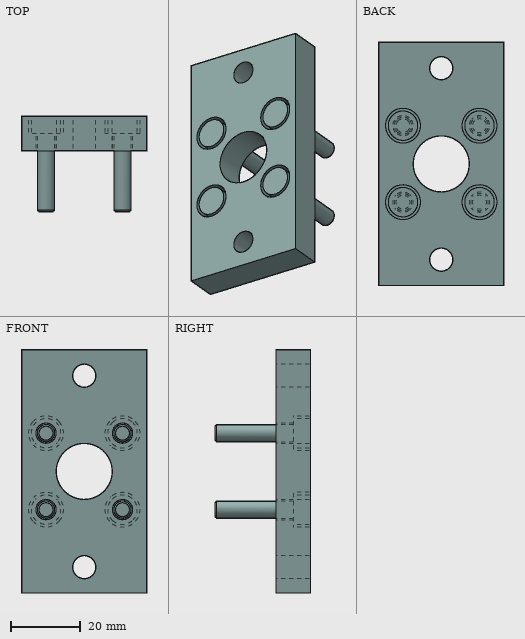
import cadquery as cq

plate_width = 36.0
plate_thickness = 10.0
plate_height = 70.0

bore_diameter = 16.0
mounting_hole_diameter = 6.6
mounting_hole_spacing = 55.0

screw_spacing = 22.0
shank_diameter = 5.0
shank_projection = 17.5
tip_chamfer = 0.5
head_diameter = 8.5
head_height = shank_diameter

clearance_diameter = 5.8
counterbore_diameter = 10.0
counterbore_depth = head_height

seat_y = plate_thickness - counterbore_depth
screw_places = [
    (x_side * screw_spacing / 2, z_side * screw_spacing / 2)
    for x_side in (-1, 1)
    for z_side in (-1, 1)
]


def cylinder_along_y(diameter, start_y, end_y, x=0, z=0):
    """Round bar parallel to Y between two Y positions."""
    return (
        cq.Workplane("XZ", origin=(x, start_y, z))
        .circle(diameter / 2)
        .extrude(start_y - end_y)
    )


def make_plate():
    """Rectangular plate with its bore, mounting holes and screw seats."""
    plate = cq.Workplane("XY").box(plate_width, plate_thickness, plate_height)
    plate = plate.translate((0, plate_thickness / 2, 0))
    plate = plate.cut(cylinder_along_y(bore_diameter, 0, plate_thickness))

    for side in (-1, 1):
        hole_z = side * mounting_hole_spacing / 2
        plate = plate.cut(cylinder_along_y(mounting_hole_diameter, 0, plate_thickness, z=hole_z))

    for x, z in screw_places:
        plate = plate.cut(cylinder_along_y(clearance_diameter, 0, plate_thickness, x, z))
        plate = plate.cut(cylinder_along_y(counterbore_diameter, seat_y, plate_thickness, x, z))
    return plate


def make_screw(x, z):
    """Cap screw with its head on the counterbore floor and a chamfered tip."""
    shank = cylinder_along_y(shank_diameter, -shank_projection, seat_y, x, z)
    shank = shank.faces("<Y").chamfer(tip_chamfer)
    head = cylinder_along_y(head_diameter, seat_y, seat_y + head_height, x, z)
    return shank.union(head)


plate = make_plate()
screws = [make_screw(x, z) for x, z in screw_places]

result = cq.Compound.makeCompound([plate.val(), *[screw.val() for screw in screws]])